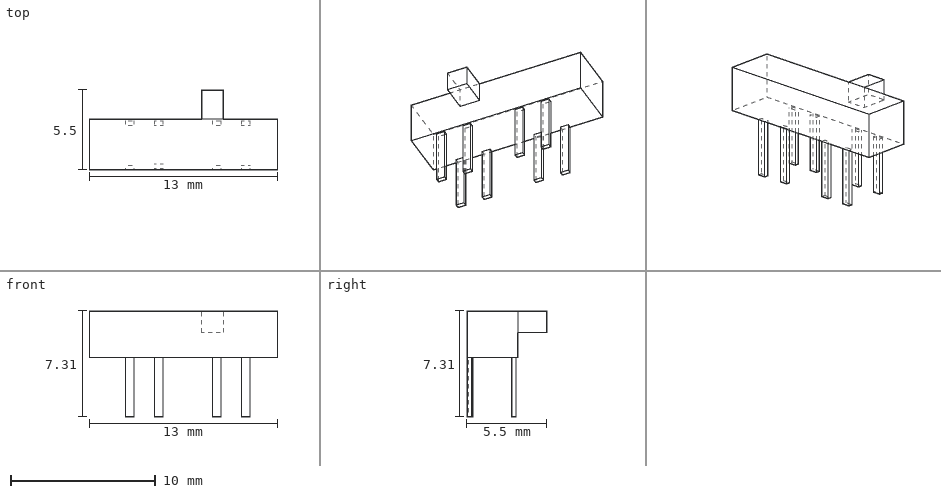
import cadquery as cq

housing_length = 13.0
housing_depth = 3.5
housing_height = 3.21

slider_width = 1.5
slider_height = 1.5
slider_reach = 2.0
slider_center_x = 2.0

pin_width = 0.6
pin_thickness = 0.31
pin_length = 4.1
pin_pitch = 2.0
first_pin_x = -3.7
pin_pitch_steps = [0, 1, 3, 4]
rear_row_inset = 0.12
set_back_pin = 1
set_back = 0.08


def make_block(width, depth, height, center_x, front_y, bottom_z):
    """Rectangular block centred on center_x, reaching back and up from its front lower edge."""
    return (
        cq.Workplane("XY")
        .box(width, depth, height, centered=(True, False, False))
        .translate((center_x, front_y, bottom_z))
    )


def make_housing():
    return make_block(housing_length, housing_depth, housing_height, 0, 0, 0)


def make_slider():
    bottom_z = housing_height - slider_height
    return make_block(
        slider_width, slider_reach, slider_height, slider_center_x, housing_depth, bottom_z
    )


def make_pin(center_x, front_y):
    return make_block(pin_width, pin_thickness, pin_length, center_x, front_y, -pin_length)


housing = make_housing()
slider = make_slider()

rear_row_y = housing_depth - rear_row_inset - pin_thickness
pins = []
for index, step in enumerate(pin_pitch_steps):
    pin_x = first_pin_x + step * pin_pitch
    front_row_y = set_back if index == set_back_pin else 0
    pins.append(make_pin(pin_x, front_row_y))
    pins.append(make_pin(pin_x, rear_row_y))

result = cq.Compound.makeCompound(
    [housing.val(), slider.val(), *[pin.val() for pin in pins]]
)